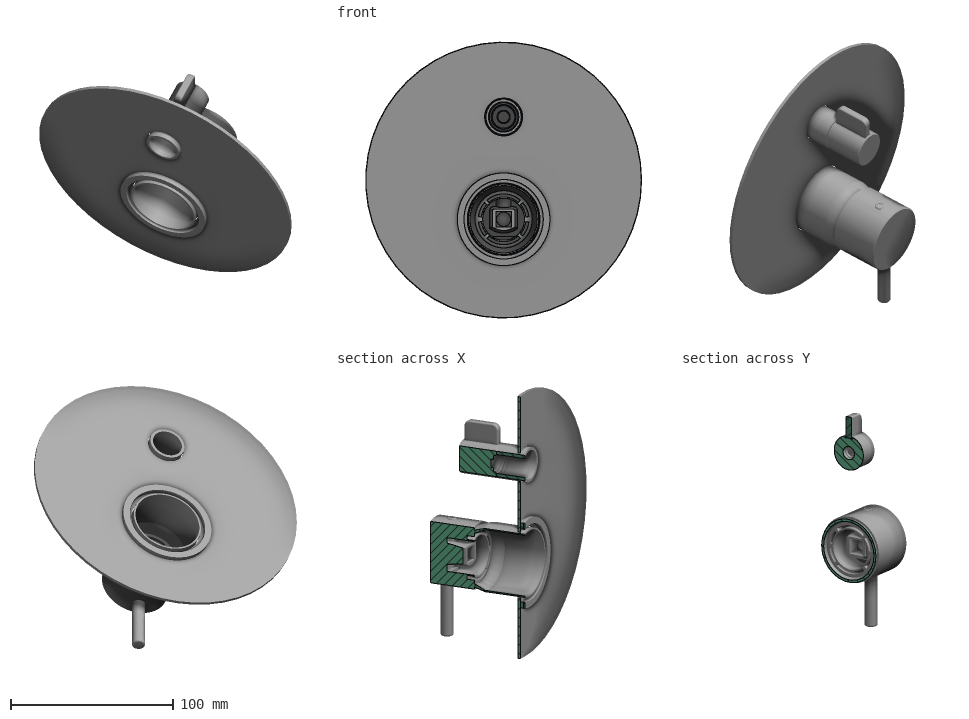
import cadquery as cq
import math


PLATE_RADIUS = 85.0
PLATE_THICKNESS = 2.0
HOLE_CLEARANCE = 0.5
MIXER_Z = -24.1
DIVERTER_Z = 39.0

FRONT_Y = -3.0

RING_OUTER_RADIUS = 28.5
RING_INNER_RADIUS = 24.5
SEAL_RING_THICKNESS = 2.0

SLEEVE_RADIUS = 21.8
SLEEVE_BORE_RADIUS = 20.7
NECK_START_Y = 24.5
NECK_OUTER_END_RADIUS = 19.9
NECK_INNER_END_RADIUS = 17.7
NECK_ROUND_RADIUS = 4.0

HANDLE_RADIUS = 21.2
HANDLE_START_Y = 31.6
HANDLE_END_Y = 62.0
HANDLE_CHAMFER = 0.5
POCKET_RADIUS = 13.0
POCKET_FLOOR_Y = 50.5

ARC_SLOT_OUTER_RADIUS = 15.6
ARC_SLOT_INNER_RADIUS = 13.8
ARC_SLOT_DEPTH = 5.1
SIDE_SLOT = (23.5, 35)
END_SLOT = (90, 82)

HUB_WIDTH = 17.2
HUB_TOP = 7.8
HUB_SIDE_BOTTOM = -5.6
HUB_BOTTOM = -8.5
HUB_CORNER_RADIUS = 2.5
HUB_TAPER = 7.0
HUB_START_Y = 37.4
SPINDLE_SQUARE = 9.7
SPINDLE_BORE_RADIUS = 4.5
SPINDLE_SQUARE_DEPTH = 8.5
SPINDLE_BORE_DEPTH = 13.6
SCREW_BOSS_RADIUS = 4.6
LEVER_PAD_DROP = 10.7
LEVER_PAD_START_Y = 47.6

PLUG_Y = 50.5
PLUG_RADIUS = 3.0
PLUG_DEPTH = 3.4
PLUG_RISE = 0.5
PLUG_CHAMFER = 0.5
PLUG_DIMPLE_RADIUS = 1.7
PLUG_DIMPLE_DEPTH = 0.3

LEVER_Y = 53.9
LEVER_RADIUS = 4.0
LEVER_TIP_Z = -78.7
LEVER_SOCKET_DEPTH = 5.1
LEVER_TIP_ROUND = 1.2

DIVERTER_RADIUS = 11.0
DIVERTER_BORE_RADIUS = 9.4
KNOB_START_Y = 16.7
KNOB_END_Y = 42.2
KNOB_CHAMFER = 0.5

KNOB_BORE_STEPS = [(8.8, 1.7), (7.6, 3.4), (7.0, 6.8), (4.0, 15.3), (3.5, 17.0)]

FIN_WIDTH = 4.8
FIN_SIDE_GAP = 0.3
FIN_START_Y = 17.8
FIN_END_Y = 41.1
FIN_TOP_Z = 62.4
FIN_SLOT_DEPTH = 1.7
FIN_BOTTOM_Z = DIVERTER_Z + DIVERTER_RADIUS - FIN_SLOT_DEPTH
FIN_CORNER_RADIUS = 3.9
FIN_EDGE_ROUND = 1.0


def rod_along_y(radius, start_y, end_y, z):
    """Cylinder with its axis parallel to Y."""
    plane = cq.Plane(origin=(0, start_y, z), xDir=(1, 0, 0), normal=(0, 1, 0))
    return cq.Workplane(plane).circle(radius).extrude(end_y - start_y)


def rod_along_z(radius, start_z, end_z, y):
    """Cylinder with its axis parallel to Z."""
    return cq.Workplane("XY", origin=(0, y, start_z)).circle(radius).extrude(end_z - start_z)


def block(width, start_y, end_y, bottom_z, top_z):
    """Box that is centred on X = 0."""
    corner = (-width / 2, start_y, bottom_z)
    return cq.Workplane("XY", origin=corner).box(width, end_y - start_y, top_z - bottom_z, centered=False)


def make_plate():
    plate = rod_along_y(PLATE_RADIUS, 0, PLATE_THICKNESS, 0)
    mixer_hole = rod_along_y(SLEEVE_RADIUS + HOLE_CLEARANCE, 0, PLATE_THICKNESS, MIXER_Z)
    diverter_hole = rod_along_y(DIVERTER_RADIUS + HOLE_CLEARANCE, 0, PLATE_THICKNESS, DIVERTER_Z)
    return plate.cut(mixer_hole).cut(diverter_hole)


def make_ring(start_y, end_y):
    ring = rod_along_y(RING_OUTER_RADIUS, start_y, end_y, MIXER_Z)
    return ring.cut(rod_along_y(RING_INNER_RADIUS, start_y, end_y, MIXER_Z))


def make_mixer_sleeve():
    outline = [
        (SLEEVE_BORE_RADIUS, FRONT_Y),
        (SLEEVE_RADIUS, FRONT_Y),
        (SLEEVE_RADIUS, NECK_START_Y),
        (NECK_OUTER_END_RADIUS, HANDLE_START_Y),
        (NECK_INNER_END_RADIUS, HANDLE_START_Y),
        (SLEEVE_BORE_RADIUS, NECK_START_Y),
    ]
    sleeve = cq.Workplane("XY").polyline(outline).close().revolve(360, (0, 0, 0), (0, 1, 0))
    widest_circles = sleeve.edges("%CIRCLE").edges(cq.selectors.RadiusNthSelector(-1))
    sleeve = widest_circles.edges(">Y").fillet(NECK_ROUND_RADIUS)
    return sleeve.translate((0, 0, MIXER_Z))


def arc_slot(middle_angle, angle):
    """Curved groove around the mixer axis, open at the front face of the handle."""

    def at(radius, degrees):
        turn = math.radians(degrees)
        return (radius * math.cos(turn), radius * math.sin(turn))

    first = middle_angle - angle / 2
    last = middle_angle + angle / 2
    return (
        cq.Workplane("XZ", origin=(0, HANDLE_START_Y, MIXER_Z))
        .moveTo(*at(ARC_SLOT_INNER_RADIUS, first))
        .lineTo(*at(ARC_SLOT_OUTER_RADIUS, first))
        .threePointArc(at(ARC_SLOT_OUTER_RADIUS, middle_angle), at(ARC_SLOT_OUTER_RADIUS, last))
        .lineTo(*at(ARC_SLOT_INNER_RADIUS, last))
        .threePointArc(at(ARC_SLOT_INNER_RADIUS, middle_angle), at(ARC_SLOT_INNER_RADIUS, first))
        .close()
        .extrude(-ARC_SLOT_DEPTH)
    )


def make_hub():
    """Boss that narrows from the pocket floor to its front end; its underside is a shallow arc."""
    half_width = HUB_WIDTH / 2
    shoulder_x = half_width - HUB_CORNER_RADIUS
    shoulder_z = HUB_TOP - HUB_CORNER_RADIUS
    corner_middle = HUB_CORNER_RADIUS * math.sqrt(0.5)
    return (
        cq.Workplane("XZ", origin=(0, POCKET_FLOOR_Y, MIXER_Z))
        .moveTo(-half_width, HUB_SIDE_BOTTOM)
        .threePointArc((0, HUB_BOTTOM), (half_width, HUB_SIDE_BOTTOM))
        .lineTo(half_width, shoulder_z)
        .threePointArc((shoulder_x + corner_middle, shoulder_z + corner_middle), (shoulder_x, HUB_TOP))
        .lineTo(-shoulder_x, HUB_TOP)
        .threePointArc((-shoulder_x - corner_middle, shoulder_z + corner_middle), (-half_width, shoulder_z))
        .close()
        .extrude(POCKET_FLOOR_Y - HUB_START_Y, taper=HUB_TAPER)
    )


def make_pocket_fittings():
    """Spindle hub, screw boss and lever pad, which all stand on the pocket floor."""
    screw_boss = rod_along_z(SCREW_BOSS_RADIUS, MIXER_Z, MIXER_Z + POCKET_RADIUS, PLUG_Y)
    pad_bottom_z = MIXER_Z - POCKET_RADIUS
    pad_top_z = MIXER_Z - LEVER_PAD_DROP
    lever_pad = block(2 * POCKET_RADIUS, LEVER_PAD_START_Y, POCKET_FLOOR_Y, pad_bottom_z, pad_top_z)
    trim = rod_along_y(POCKET_RADIUS, HANDLE_START_Y, HANDLE_END_Y, MIXER_Z)
    return make_hub().union(screw_boss).union(lever_pad).intersect(trim)


def make_handle(plug, lever):
    handle = rod_along_y(HANDLE_RADIUS, HANDLE_START_Y, HANDLE_END_Y, MIXER_Z)
    handle = handle.faces(">Y").edges().chamfer(HANDLE_CHAMFER)
    handle = handle.cut(rod_along_y(POCKET_RADIUS, HANDLE_START_Y, POCKET_FLOOR_Y, MIXER_Z))
    for middle_angle, angle in [SIDE_SLOT, END_SLOT]:
        upper_slot = arc_slot(middle_angle, angle)
        lower_slot = arc_slot(-middle_angle, angle)
        for slot in (upper_slot, lower_slot):
            handle = handle.cut(slot).cut(slot.mirror("YZ"))
    handle = handle.union(make_pocket_fittings())

    half_square = SPINDLE_SQUARE / 2
    square_end_y = HUB_START_Y + SPINDLE_SQUARE_DEPTH
    spindle_square = block(
        SPINDLE_SQUARE, HUB_START_Y, square_end_y, MIXER_Z - half_square, MIXER_Z + half_square
    )
    spindle_bore = rod_along_y(SPINDLE_BORE_RADIUS, HUB_START_Y, HUB_START_Y + SPINDLE_BORE_DEPTH, MIXER_Z)
    return handle.cut(spindle_square).cut(spindle_bore).cut(plug).cut(lever)


def make_plug():
    handle_top_z = MIXER_Z + HANDLE_RADIUS
    plug_top_z = handle_top_z + PLUG_RISE
    plug = rod_along_z(PLUG_RADIUS, handle_top_z - PLUG_DEPTH, plug_top_z, PLUG_Y)
    plug = plug.faces(">Z").edges().chamfer(PLUG_CHAMFER)
    return plug.cut(rod_along_z(PLUG_DIMPLE_RADIUS, plug_top_z - PLUG_DIMPLE_DEPTH, plug_top_z, PLUG_Y))


def make_lever():
    socket_end_z = MIXER_Z - HANDLE_RADIUS + LEVER_SOCKET_DEPTH
    lever = rod_along_z(LEVER_RADIUS, LEVER_TIP_Z, socket_end_z, LEVER_Y)
    return lever.faces("<Z").edges().fillet(LEVER_TIP_ROUND)


def make_diverter_sleeve():
    sleeve = rod_along_y(DIVERTER_RADIUS, FRONT_Y, KNOB_START_Y, DIVERTER_Z)
    return sleeve.cut(rod_along_y(DIVERTER_BORE_RADIUS, FRONT_Y, KNOB_START_Y, DIVERTER_Z))


def make_fin():
    fin = block(FIN_WIDTH, FIN_START_Y, FIN_END_Y, FIN_BOTTOM_Z, FIN_TOP_Z)
    fin = fin.edges("|X and >Z").fillet(FIN_CORNER_RADIUS)
    return fin.faces("<X or >X").edges("not <Z").fillet(FIN_EDGE_ROUND)


def make_knob():
    knob = rod_along_y(DIVERTER_RADIUS, KNOB_START_Y, KNOB_END_Y, DIVERTER_Z)
    knob = knob.faces("<Y or >Y").edges().chamfer(KNOB_CHAMFER)
    for radius, depth in KNOB_BORE_STEPS:
        knob = knob.cut(rod_along_y(radius, KNOB_START_Y, KNOB_START_Y + depth, DIVERTER_Z))
    slot_width = FIN_WIDTH + 2 * FIN_SIDE_GAP
    return knob.cut(block(slot_width, FIN_START_Y, FIN_END_Y, FIN_BOTTOM_Z, FIN_TOP_Z))


plate = make_plate()
seal_ring = make_ring(-SEAL_RING_THICKNESS, 0)
clamp_ring = make_ring(FRONT_Y, -SEAL_RING_THICKNESS)
mixer_sleeve = make_mixer_sleeve()
plug = make_plug()
lever = make_lever()
handle = make_handle(plug, lever)
diverter_sleeve = make_diverter_sleeve()
fin = make_fin()
knob = make_knob()

bodies = [
    plate,
    seal_ring,
    clamp_ring,
    mixer_sleeve,
    plug,
    lever,
    handle,
    diverter_sleeve,
    fin,
    knob,
]
result = cq.Compound.makeCompound([body.val() for body in bodies])